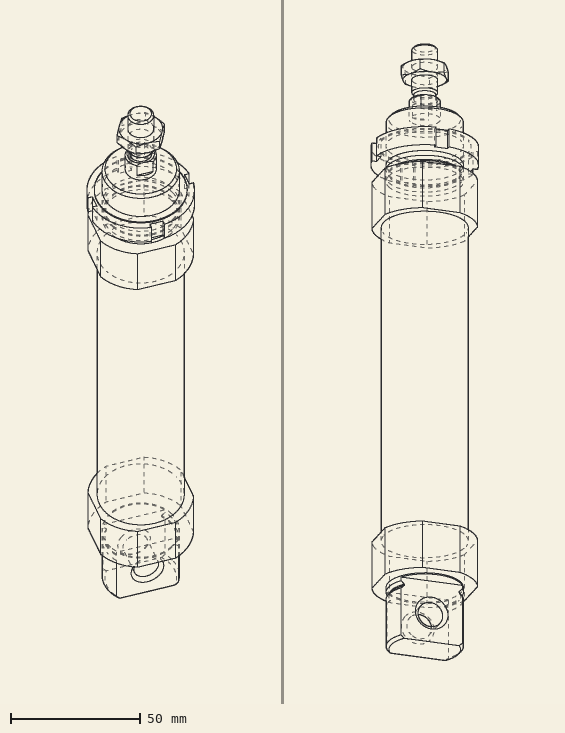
import cadquery as cq
import math

total_length = 251.5

tube_diameter = 33.7
cap_corner_diameter = 41.0
cap_across_flats = 38.0
cap_length = 19.4
rear_cap_bottom = 26.0
front_cap_top = 195.7

neck_diameter = 30.0
neck_end_diameter = 27.7
neck_chamfer_length = 1.3
collar_top = 221.5
groove_diameter = 27.7
groove_bend_diameter = 28.5
groove_floor_length = 0.5
groove_length = 3.0
front_groove_bottom = 197.5
rear_groove_bottom = 21.0

lug_thickness = 16.0
lug_top = 25.5
lug_hole_height = 12.0
lug_hole_diameter = 10.0
lug_hole_mouth_diameter = 13.3
lug_hole_mouth_depth = 1.5
lug_hole_bevel_diameter = 12.0
lug_hole_bevel_depth = 0.38

rod_diameter = 12.0
rod_across_flats = 10.0
rod_flat_bottom = 223.8
rod_shoulder_top = 229.9
rod_shoulder_chamfer = 0.8
thread_diameter = 10.0
thread_bottom = 232.0
thread_chamfer = 0.88
undercut_diameter = 8.5

rod_nut_bottom = 238.2
rod_nut_height = 5.3
rod_nut_across_flats = 16.9

ring_nut_diameter = 41.7
ring_nut_bottom = 202.5
ring_nut_height = 7.5
ring_nut_boss_diameter = 36.0
ring_nut_boss_height = 0.5
ring_nut_slot_width = 5.3
ring_nut_slot_depth = 2.0
ring_nut_slot_count = 4


def cylinder(diameter, bottom, top):
    return cq.Workplane("XY").workplane(offset=bottom).circle(diameter / 2).extrude(top - bottom)


def turned(profile):
    """Solid of revolution about Z from (diameter, height) points, closed along the axis."""
    outline = [(0, profile[0][1])]
    outline += [(diameter / 2, height) for diameter, height in profile]
    outline += [(0, profile[-1][1])]
    return cq.Workplane("XZ").polyline(outline).close().revolve(360, (0, 0, 0), (0, 1, 0))


def end_cap(bottom):
    """Round cap with four wrench flats facing X and Y."""
    flats = (
        cq.Workplane("XY")
        .workplane(offset=bottom)
        .rect(cap_across_flats, cap_across_flats)
        .extrude(cap_length)
    )
    return cylinder(cap_corner_diameter, bottom, bottom + cap_length).intersect(flats)


def groove(bottom):
    """Profile points of a groove in a neck: 45 degree flanks that ease off before the floor."""
    top = bottom + groove_length
    flank_length = (neck_diameter - groove_bend_diameter) / 2
    floor_inset = (groove_length - groove_floor_length) / 2
    return [
        (neck_diameter, bottom),
        (groove_bend_diameter, bottom + flank_length),
        (groove_diameter, bottom + floor_inset),
        (groove_diameter, top - floor_inset),
        (groove_bend_diameter, top - flank_length),
        (neck_diameter, top),
    ]


def rear_lug():
    """Round neck cut to two flat sides facing X.

    A cross hole runs along X, and each of its mouths opens in two bevels.
    """
    neck = turned([
        (neck_end_diameter, 0),
        (neck_diameter, neck_chamfer_length),
        *groove(rear_groove_bottom),
        (neck_diameter, rear_cap_bottom),
    ])
    slab = (
        cq.Workplane("XY")
        .rect(lug_thickness, neck_diameter)
        .extrude(lug_top)
        .union(cylinder(neck_diameter, lug_top, rear_cap_bottom))
    )
    half_thickness = lug_thickness / 2
    hole = turned([
        (lug_hole_mouth_diameter, -half_thickness),
        (lug_hole_bevel_diameter, lug_hole_bevel_depth - half_thickness),
        (lug_hole_diameter, lug_hole_mouth_depth - half_thickness),
        (lug_hole_diameter, half_thickness - lug_hole_mouth_depth),
        (lug_hole_bevel_diameter, half_thickness - lug_hole_bevel_depth),
        (lug_hole_mouth_diameter, half_thickness),
    ])
    hole = hole.rotate((0, 0, 0), (0, 1, 0), 90).translate((0, 0, lug_hole_height))
    return neck.intersect(slab).cut(hole)


def front_neck():
    return turned([
        (neck_diameter, front_cap_top),
        *groove(front_groove_bottom),
        (neck_diameter, collar_top - neck_chamfer_length),
        (neck_end_diameter, collar_top),
    ])


def make_housing():
    tube = cylinder(tube_diameter, rear_cap_bottom, front_cap_top)
    return (
        tube.union(end_cap(rear_cap_bottom))
        .union(end_cap(front_cap_top - cap_length))
        .union(rear_lug())
        .union(front_neck())
    )


def make_piston_rod():
    """Rod standing on the front neck, with wrench flats facing X and a threaded tip."""
    rod = turned([
        (rod_diameter, collar_top),
        (rod_diameter, rod_shoulder_top - rod_shoulder_chamfer),
        (rod_diameter - 2 * rod_shoulder_chamfer, rod_shoulder_top),
        (undercut_diameter, rod_shoulder_top),
        (undercut_diameter, thread_bottom),
        (thread_diameter, thread_bottom + thread_chamfer),
        (thread_diameter, total_length - thread_chamfer),
        (thread_diameter - 2 * thread_chamfer, total_length),
    ])
    flank = (
        cq.Workplane("XY")
        .workplane(offset=rod_flat_bottom)
        .center((rod_across_flats + rod_diameter) / 2, 0)
        .rect(rod_diameter, rod_diameter)
        .extrude(rod_shoulder_top - rod_flat_bottom)
    )
    return rod.cut(flank).cut(flank.mirror("YZ"))


def make_rod_nut():
    """Hexagon nut with two flats facing X and corners turned down by 30 degrees on both faces."""
    corner_diameter = rod_nut_across_flats / math.cos(math.pi / 6)
    top = rod_nut_bottom + rod_nut_height
    corner_angle = math.pi / 6
    corner_drop = (corner_diameter - rod_nut_across_flats) / 2 * math.tan(corner_angle)
    hexagon = (
        cq.Workplane("XY")
        .workplane(offset=rod_nut_bottom)
        .polygon(6, corner_diameter)
        .extrude(rod_nut_height)
        .rotate((0, 0, 0), (0, 0, 1), 30)
    )
    turned_corners = turned([
        (rod_nut_across_flats, rod_nut_bottom),
        (corner_diameter, rod_nut_bottom + corner_drop),
        (corner_diameter, top - corner_drop),
        (rod_nut_across_flats, top),
    ])
    return hexagon.intersect(turned_corners).cut(cylinder(thread_diameter, rod_nut_bottom, top))


def make_ring_nut():
    """Round nut with a low boss on its front face and slots spaced evenly around its rim."""
    rim_top = ring_nut_bottom + ring_nut_height
    boss_top = rim_top + ring_nut_boss_height
    nut = cylinder(ring_nut_diameter, ring_nut_bottom, rim_top)
    nut = nut.union(cylinder(ring_nut_boss_diameter, rim_top, boss_top))
    nut = nut.cut(cylinder(neck_diameter, ring_nut_bottom, boss_top))
    slot = (
        cq.Workplane("XY")
        .workplane(offset=ring_nut_bottom)
        .center(ring_nut_diameter / 2, 0)
        .rect(2 * ring_nut_slot_depth, ring_nut_slot_width)
        .extrude(ring_nut_height)
    )
    for index in range(ring_nut_slot_count):
        nut = nut.cut(slot.rotate((0, 0, 0), (0, 0, 1), index * 360 / ring_nut_slot_count))
    return nut


housing = make_housing()
piston_rod = make_piston_rod()
rod_nut = make_rod_nut()
ring_nut = make_ring_nut()

result = cq.Compound.makeCompound([housing.val(), piston_rod.val(), rod_nut.val(), ring_nut.val()])